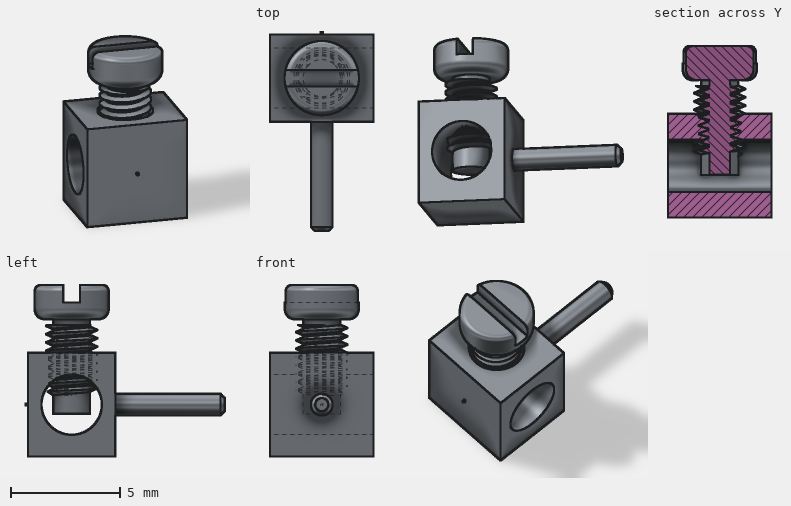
import cadquery as cq
import math


block_width = 4.75
block_depth = 4.0
block_height = 4.75
bore_diameter = 2.75
bore_height = block_height / 2
countersink_diameter = 2.56
countersink_depth = 0.37

pin_diameter = 1.0
pin_length = 5.0
pin_chamfer = 0.2
nub_diameter = 0.1
nub_length = 0.1

head_diameter = 3.4
head_height = 1.58
head_top_fillet = 0.3
head_bottom_fillet = 0.48
head_clearance = 1.52
slot_width = 0.75
slot_depth = 0.8
head_bottom = block_height + head_clearance
head_top = head_bottom + head_height

core_diameter = 1.7
shank_length = 4.32
shank_bottom = head_bottom - shank_length
thread_diameter = 2.37
thread_pitch = 0.38
thread_base_width = 0.3
thread_root_overlap = 0.05
thread_top_gap = 0.25
thread_length = 3.22
runout_angle = 35
thread_top = head_bottom - thread_top_gap
thread_bottom = thread_top - thread_length
first_crest_height = 2.84


def make_block(screw):
    block = cq.Workplane("XY").box(block_width, block_depth, block_height, centered=(True, True, False))
    bore = (
        cq.Workplane("YZ", origin=(-block_width / 2, 0, bore_height))
        .circle(bore_diameter / 2)
        .extrude(block_width)
    )
    countersink = cq.Workplane(
        cq.Solid.makeCone(
            core_diameter / 2,
            countersink_diameter / 2,
            countersink_depth,
            pnt=cq.Vector(0, 0, block_height - countersink_depth),
        )
    )
    pin = (
        cq.Workplane("XZ", origin=(0, -block_depth / 2, bore_height))
        .circle(pin_diameter / 2)
        .extrude(pin_length)
        .faces("<Y")
        .chamfer(pin_chamfer)
    )
    nub = (
        cq.Workplane("XZ", origin=(0, block_depth / 2, bore_height))
        .circle(nub_diameter / 2)
        .extrude(-nub_length)
    )
    return block.cut(bore).cut(countersink).cut(screw).union(pin).union(nub)


def make_head():
    head = (
        cq.Workplane("XY", origin=(0, 0, head_bottom))
        .circle(head_diameter / 2)
        .extrude(head_height)
        .faces(">Z")
        .edges()
        .fillet(head_top_fillet)
        .faces("<Z")
        .edges()
        .fillet(head_bottom_fillet)
    )
    slot = cq.Workplane("XY", origin=(0, 0, head_top - slot_depth)).box(
        head_diameter, slot_width, slot_depth, centered=(True, True, False)
    )
    return head.cut(slot)


def make_thread():
    core_radius = core_diameter / 2
    root_radius = core_radius - thread_root_overlap
    crest_radius = thread_diameter / 2
    half_base = thread_base_width / 2
    sweep_height = thread_top + thread_pitch - first_crest_height
    helix = cq.Wire.makeHelix(thread_pitch, sweep_height, core_radius, cq.Vector(0, 0, first_crest_height))
    ridge = (
        cq.Workplane("XZ")
        .polyline(
            [
                (root_radius, first_crest_height - half_base),
                (core_radius, first_crest_height - half_base),
                (crest_radius, first_crest_height),
                (core_radius, first_crest_height + half_base),
                (root_radius, first_crest_height + half_base),
            ]
        )
        .close()
        .sweep(cq.Workplane(helix), isFrenet=True)
    )
    zone_radius = thread_diameter
    cone_top = thread_bottom + (zone_radius - core_radius) * math.tan(math.radians(runout_angle))
    threaded_zone = (
        cq.Workplane("XZ")
        .polyline(
            [
                (0, thread_bottom),
                (core_radius, thread_bottom),
                (zone_radius, cone_top),
                (zone_radius, thread_top),
                (0, thread_top),
            ]
        )
        .close()
        .revolve(360, (0, 0, 0), (0, 1, 0))
    )
    return ridge.intersect(threaded_zone)


def make_screw():
    core = (
        cq.Workplane("XY", origin=(0, 0, shank_bottom))
        .circle(core_diameter / 2)
        .extrude(shank_length)
    )
    return core.union(make_thread()).union(make_head())


screw = make_screw()
terminal_block = make_block(screw)

result = cq.Compound.makeCompound([terminal_block.val(), screw.val()])